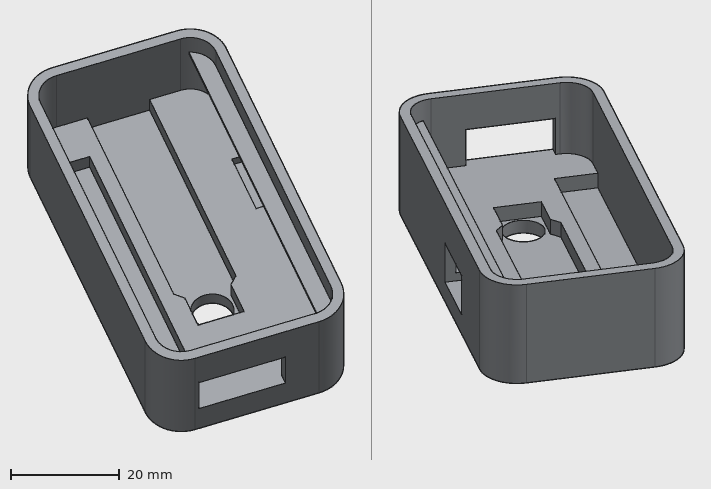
import cadquery as cq

length = 73.5
width = 38.5
height = 20.8
wall = 2.05
corner_radius = 7.05
floor_top = 5.8
inner_length = length - 2 * wall
inner_width = width - 2 * wall
inner_end = inner_length / 2
inner_side = inner_width / 2

ledge_depth = 3.45
ledge_top = 16.55
ledge_thickness = 0.5

recess_depth = 3.1
recess_bottom = floor_top - recess_depth
channel_width = 12.2
channel_neck_width = 9.05
channel_taper_start = 9.85
channel_end = 18.2
channel_taper = (channel_width - channel_neck_width) / 2
pocket_length = 52.05
pocket_width = 8.2

hole_diameter = 8.0
hole_x = 13.75

rear_window_length = 12.5
rear_window_x = -9.9
rear_window_height = 8.2
rear_notch_depth = 1.7
rear_notch_reach = 2.0

end_window_rear_y = 5.6
end_window_width = 17.0
end_window_height = 7.6


def block(x_min, x_max, y_min, y_max, z_min, z_max):
    """Return a box spanning the given limits."""
    size = (x_max - x_min, y_max - y_min, z_max - z_min)
    return cq.Workplane("XY").box(*size, centered=False).translate((x_min, y_min, z_min))


def rounded_block(size_x, size_y, radius, z_min, z_max):
    """Return a centred block with rounded vertical edges."""
    prism = cq.Workplane("XY", origin=(0, 0, z_min)).rect(size_x, size_y).extrude(z_max - z_min)
    return prism.edges("|Z").fillet(radius)


def make_tray():
    outside = rounded_block(length, width, corner_radius, 0, height)
    inner_radius = corner_radius - wall
    cavity = rounded_block(inner_length, inner_width, inner_radius, floor_top, height)
    return outside.cut(cavity)


def make_ledge():
    """Thin shelf trimmed to the rounded outline of the tray."""
    ledge_bottom = ledge_top - ledge_thickness
    strip = block(
        -length / 2, length / 2, inner_side - ledge_depth, width / 2, ledge_bottom, ledge_top
    )
    outline = rounded_block(length, width, corner_radius, 0, height)
    return strip.intersect(outline)


def make_channel():
    half_width = channel_width / 2
    half_neck = channel_neck_width / 2
    neck_start = channel_taper_start + channel_taper
    return (
        cq.Workplane("XY", origin=(0, 0, recess_bottom))
        .moveTo(-inner_end, -half_width)
        .lineTo(channel_taper_start, -half_width)
        .lineTo(neck_start, -half_neck)
        .lineTo(channel_end, -half_neck)
        .lineTo(channel_end, half_neck)
        .lineTo(neck_start, half_neck)
        .lineTo(channel_taper_start, half_width)
        .lineTo(-inner_end, half_width)
        .close()
        .extrude(recess_depth)
    )


def make_pocket():
    half_length = pocket_length / 2
    rear_y = -inner_side + pocket_width
    return block(-half_length, half_length, -inner_side, rear_y, recess_bottom, floor_top)


def make_hole():
    return cq.Workplane("XY").center(hole_x, 0).circle(hole_diameter / 2).extrude(floor_top)


def make_rear_window():
    x_min = rear_window_x - rear_window_length / 2
    x_max = rear_window_x + rear_window_length / 2
    y_min = inner_side - rear_notch_reach
    z_min = floor_top - rear_notch_depth
    return block(x_min, x_max, y_min, width / 2, z_min, z_min + rear_window_height)


def make_end_window():
    y_min = end_window_rear_y - end_window_width
    z_max = floor_top + end_window_height
    return block(inner_end, length / 2, y_min, end_window_rear_y, floor_top, z_max)


result = make_tray().union(make_ledge())
for cutter in (
    make_channel(),
    make_pocket(),
    make_hole(),
    make_rear_window(),
    make_end_window(),
):
    result = result.cut(cutter)